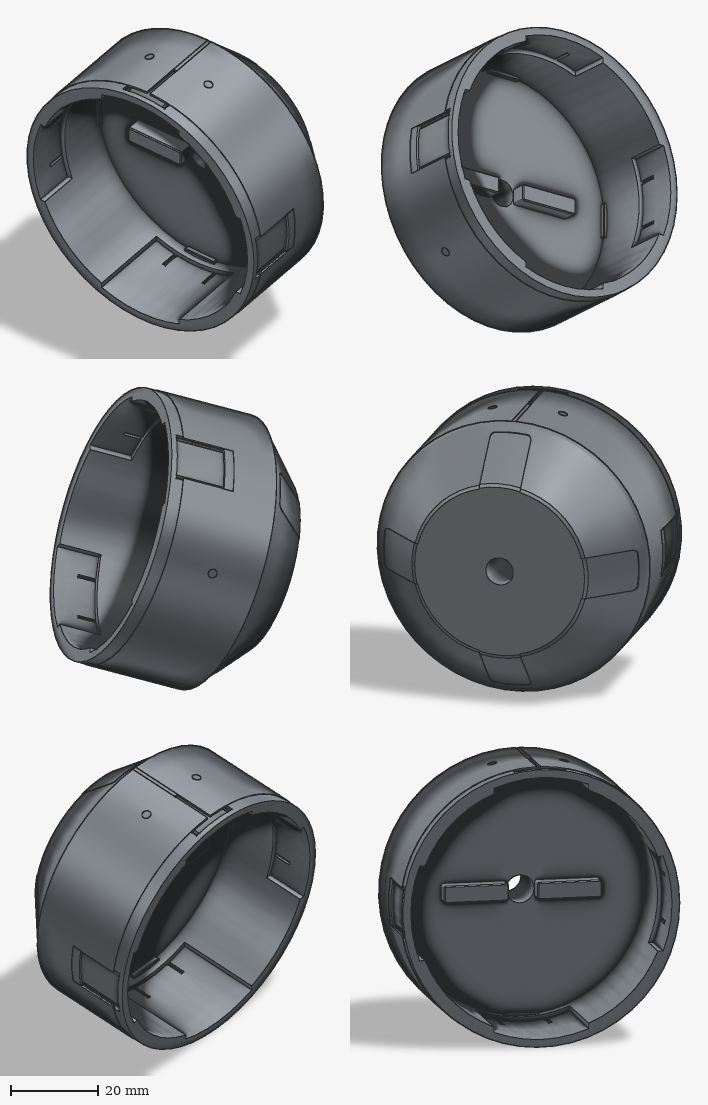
import cadquery as cq
import math

LENGTH = 38.5
SLEEVE_RADIUS = 32.6

BODY_RADIUS = 32.5
BORE_RADIUS = 29.5
FLOOR_Y = 23.8
CONE_START_Y = 26.6
SHOULDER_LENGTH = 0.45
CONE_RADIUS = 31.8
BACK_EDGE_LENGTH = 0.4
BACK_EDGE_WIDTH = 0.8
BACK_RADIUS = 20.1
CENTER_HOLE_RADIUS = 3.25

SLEEVE_INNER_RADIUS = 32.1
SLEEVE_START_Y = 3.1
SEAM_WIDTH = 1.0
WINDOW_WIDTH = 11.1
WINDOW_END_Y = 15.8
PIN_HOLE_RADIUS = 1.05
PIN_HOLE_Y = 14.85
PIN_HOLE_ANGLES = (75, 105, 225, 315)

POCKET_ANGLES = (0, 90, 180)
POCKET_WIDTH = 12.0
POCKET_START_Y = 1.4
POCKET_END_Y = 13.5
POCKET_FLOOR_RADIUS = 31.4
TONGUE_RADIUS = 31.9
TONGUE_BASE_WIDTH = 10.4
TONGUE_TOP_WIDTH = 9.45

QUARTER_ANGLES = (0, 90, 180, 270)
RECESS_WIDTH = 22.2
RECESS_RADIUS = 30.65
RECESS_LENGTH = 10.5
BOTTOM_RECESS_LENGTH = 21.1
BOTTOM_ANGLE = 270
SLIT_LENGTH = 4.5
SLIT_BOTTOM_RADIUS = 31.3

TAB_WIDTH = 8.5
TAB_INNER_RADIUS = 28.55
TAB_LENGTH = 1.2
TAB_CHAMFER = 0.2

BAR_INNER_X = 3.4
BAR_OUTER_X = 18.5
BAR_WIDTH = 4.05
BAR_HEIGHT = 3.65
BAR_CORNER_RADIUS = 0.5
BAR_CHAMFER = 0.25

PANEL_WIDTH = 9.8
PANEL_START_Y = 28.55
PANEL_CORNER_RADIUS = 1.0
PANEL_HEIGHT = 0.1
PANEL_ROOT_X = 13.05


def disc(radius, start_y, end_y):
    """Solid cylinder on the Y axis."""
    return cq.Workplane("XZ", origin=(0, start_y, 0)).circle(radius).extrude(start_y - end_y)


def ring(outer_radius, inner_radius, start_y, end_y):
    return disc(outer_radius, start_y, end_y).cut(disc(inner_radius, start_y, end_y))


def side_block(width, start_y, end_y, inner=0.0, offset=0.0):
    """Block reaching out along +X from x = inner, centred on z = offset."""
    reach = SLEEVE_RADIUS + 0.65 - inner
    block = cq.Workplane("XY").box(reach, end_y - start_y, width, centered=(False, False, True))
    return block.translate((inner, start_y, offset))


def turned(shape, angle):
    """Turn a shape built on the +X side to an angle measured from +X towards +Z."""
    return shape.rotate((0, 0, 0), (0, 1, 0), -angle)


def outer_form(growth=0.0):
    """Solid of the body and cone, with its cone face moved outwards by growth."""
    shift = growth * math.sqrt(2)
    cone_y = CONE_START_Y + SHOULDER_LENGTH
    edge_y = LENGTH - BACK_EDGE_LENGTH
    points = [
        (0, 0),
        (BODY_RADIUS, 0),
        (BODY_RADIUS, CONE_START_Y),
        (CONE_RADIUS + shift, cone_y),
        (BACK_RADIUS + BACK_EDGE_WIDTH + shift, edge_y),
        (BACK_RADIUS + shift, LENGTH),
        (0, LENGTH),
    ]
    return cq.Workplane("XY").polyline(points).close().revolve(360, (0, 0, 0), (0, 1, 0))


def sleeve():
    band = ring(SLEEVE_RADIUS, SLEEVE_INNER_RADIUS, SLEEVE_START_Y, CONE_START_Y)
    band = band.cut(turned(side_block(SEAM_WIDTH, SLEEVE_START_Y, CONE_START_Y), 90))
    for angle in (0, 180):
        band = band.cut(turned(side_block(WINDOW_WIDTH, SLEEVE_START_Y, WINDOW_END_Y), angle))
    pin = cq.Workplane("YZ").center(PIN_HOLE_Y, 0).circle(PIN_HOLE_RADIUS).extrude(SLEEVE_RADIUS + 0.65)
    for angle in PIN_HOLE_ANGLES:
        band = band.cut(turned(pin, angle))
    return band


def clip_pocket():
    """Pocket volume on the +X side, leaving the bevelled tongue standing."""
    pocket = ring(BODY_RADIUS, POCKET_FLOOR_RADIUS, POCKET_START_Y, POCKET_END_Y)
    pocket = pocket.intersect(side_block(POCKET_WIDTH, POCKET_START_Y, POCKET_END_Y))
    base_x = math.sqrt(POCKET_FLOOR_RADIUS**2 - (TONGUE_BASE_WIDTH / 2)**2)
    top_x = math.sqrt(TONGUE_RADIUS**2 - (TONGUE_TOP_WIDTH / 2)**2)
    profile = [
        (0, -TONGUE_BASE_WIDTH / 2),
        (base_x, -TONGUE_BASE_WIDTH / 2),
        (top_x, -TONGUE_TOP_WIDTH / 2),
        (SLEEVE_RADIUS, -TONGUE_TOP_WIDTH / 2),
        (SLEEVE_RADIUS, TONGUE_TOP_WIDTH / 2),
        (top_x, TONGUE_TOP_WIDTH / 2),
        (base_x, TONGUE_BASE_WIDTH / 2),
        (0, TONGUE_BASE_WIDTH / 2),
    ]
    tongue = cq.Workplane("XZ", origin=(0, POCKET_START_Y, 0)).polyline(profile).close()
    tongue = tongue.extrude(POCKET_START_Y - POCKET_END_Y)
    tongue = tongue.intersect(disc(TONGUE_RADIUS, POCKET_START_Y, POCKET_END_Y))
    return pocket.cut(tongue)


def rim_recess(length):
    """Recess volume on the +X side together with its two slits."""
    recess = disc(RECESS_RADIUS, 0, length)
    recess = recess.intersect(side_block(RECESS_WIDTH, 0, length))
    slit_start_y = length - SLIT_LENGTH
    slit_width = (POCKET_WIDTH - TONGUE_BASE_WIDTH) / 2
    slit_offset = (POCKET_WIDTH + TONGUE_BASE_WIDTH) / 4
    slit_disc = disc(SLIT_BOTTOM_RADIUS, slit_start_y, length)
    for side in (-1, 1):
        block = side_block(slit_width, slit_start_y, length, offset=side * slit_offset)
        recess = recess.union(block.intersect(slit_disc))
    return recess


def bore_tab():
    start_y = FLOOR_Y - TAB_LENGTH
    tab = side_block(TAB_WIDTH, start_y, FLOOR_Y, inner=TAB_INNER_RADIUS)
    tab = tab.faces("<X").edges("<Y or <Z or >Z").chamfer(TAB_CHAMFER)
    return tab.intersect(disc(BODY_RADIUS, start_y, FLOOR_Y))


def floor_bar():
    center_x = (BAR_INNER_X + BAR_OUTER_X) / 2
    bar = cq.Workplane("XZ", origin=(center_x, FLOOR_Y, 0)).rect(BAR_OUTER_X - BAR_INNER_X, BAR_WIDTH)
    bar = bar.extrude(BAR_HEIGHT).edges("|Y").fillet(BAR_CORNER_RADIUS)
    return bar.faces("<Y").chamfer(BAR_CHAMFER)


def cone_panel():
    """Raised panel on the cone on the +X side, following the cone surface."""
    outline = side_block(PANEL_WIDTH, PANEL_START_Y, LENGTH, inner=PANEL_ROOT_X)
    outline = outline.edges("|X and <Y").fillet(PANEL_CORNER_RADIUS)
    return outline.intersect(outer_form(PANEL_HEIGHT))


result = outer_form().cut(disc(BORE_RADIUS, 0, FLOOR_Y))
for quarter in QUARTER_ANGLES:
    result = result.union(turned(cone_panel(), quarter))
    recess_length = BOTTOM_RECESS_LENGTH if quarter == BOTTOM_ANGLE else RECESS_LENGTH
    result = result.cut(turned(rim_recess(recess_length), quarter))
    result = result.union(turned(bore_tab(), quarter))
for pocket_angle in POCKET_ANGLES:
    result = result.cut(turned(clip_pocket(), pocket_angle))
result = result.union(sleeve())
for bar_angle in (0, 180):
    result = result.union(turned(floor_bar(), bar_angle))
result = result.cut(disc(CENTER_HOLE_RADIUS, 0, LENGTH))